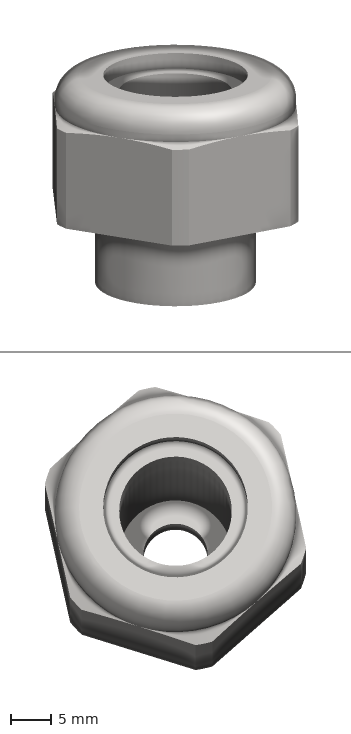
import cadquery as cq
import math

collar_base = 9.45
hex_base = 10.05
hex_top = 23.0
total_height = 27.0

across_flats = 30.0
across_corners = 33.5
cap_diameter = across_flats
cap_edge_radius = 3.0
hex_chamfer_angle = 15.0
collar_diameter = 21.0
spigot_diameter = 20.0

recess_diameter = 18.0
recess_depth = 2.0
bore_diameter = 14.0
outlet_diameter = 8.0
floor_thickness = (spigot_diameter - bore_diameter) / 2


def cylinder(diameter, bottom, top):
    """Upright cylinder on the part axis between two heights."""
    return cq.Workplane("XY").workplane(offset=bottom).circle(diameter / 2).extrude(top - bottom)


def hexagon_nut():
    """Hexagon with rounded corners and a shallow conical chamfer around its top."""
    sharp_corners = across_flats / math.cos(math.radians(30))
    prism = (
        cq.Workplane("XY")
        .workplane(offset=hex_base)
        .polygon(6, sharp_corners)
        .extrude(hex_top - hex_base)
    )
    chamfer_width = (across_corners - cap_diameter) / 2
    chamfer_drop = chamfer_width * math.tan(math.radians(hex_chamfer_angle))
    envelope = (
        cylinder(across_corners, hex_base, hex_top)
        .faces(">Z")
        .edges()
        .chamfer(chamfer_drop, chamfer_width)
    )
    return prism.intersect(envelope)


def domed_cap():
    """Round cap above the hexagon with a large radius on its top edge."""
    return cylinder(cap_diameter, hex_top, total_height).faces(">Z").edges().fillet(cap_edge_radius)


spigot = cylinder(spigot_diameter, 0, collar_base)
collar = cylinder(collar_diameter, collar_base, hex_base)
body = spigot.union(collar).union(hexagon_nut()).union(domed_cap())

recess = cylinder(recess_diameter, total_height - recess_depth, total_height)
bore = cylinder(bore_diameter, floor_thickness, total_height)
outlet = cylinder(outlet_diameter, 0, total_height)

result = body.cut(recess).cut(bore).cut(outlet)